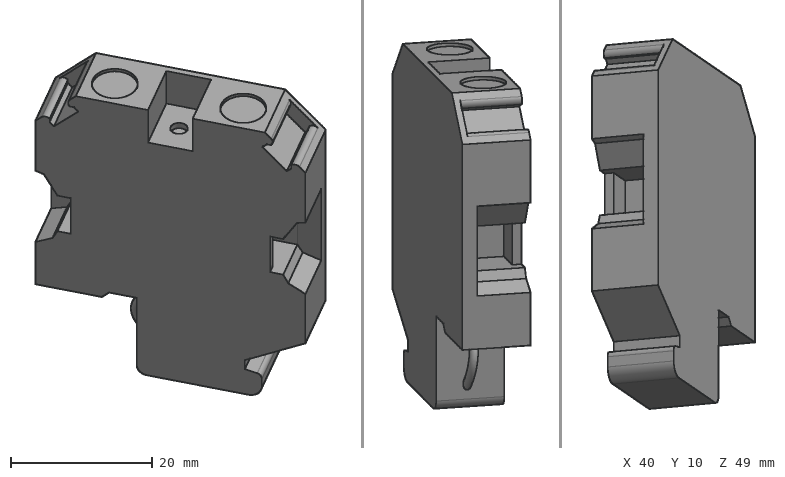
import cadquery as cq
import math

width = 40.0
thickness = 10.0
height = 49.0
half_width = width / 2
corner_chamfer = 6.002
back_wall = 1.0
recess_depth = thickness - back_wall

left_base_z = 12.85
step_z = 13.9
step_left_x = -10.15
foot_left_x = -5.0
foot_left_radius = 1.5
right_base_z = 11.5
notch_x = 11.02
notch_top_z = 6.25
notch_bottom_z = 4.6
toe_x = 13.5
toe_top_z = 4.2
toe_top_radius = 0.85
toe_bottom_radius = 2.0

marker_half_length = 2.55
marker_depth = 2.2
lip_radius = 0.858
lip_half_gap = 2.1
lip_undercut = marker_half_length - lip_half_gap

funnel_depth = 3.3
funnel_outer_y = 7.8
funnel_inner_y = 6.95
entry_top_z = 30.0
entry_bottom_z = 23.4
funnel_top_z = 33.8
funnel_top_bend = (1.25, 33.4)
funnel_bottom_bend = (2.55, 22.0)
funnel_bottom_z = 20.65
entry_front_depth = 5.25
entry_full_depth = 10.0
entry_front_skin = 1.35

slot_width = 6.6
slot_depth = 6.002
hole_y = 4.25
pin_hole_diameter = 2.45
pin_hole_depth = 1.0
screw_hole_diameter = 6.5
screw_hole_depth = 0.5
screw_x = 9.5

wire_diameter = 1.25
wire_path = [(-3.9, 4.55, 11.05), (-5.0, 4.6, 10.6), (-6.7, 5.0, 7.65), (-5.0, 5.4, 3.8), (-4.15, 5.5, 2.85)]


def extrude_to_back(sketch, depth):
    """Extrude an XZ sketch from the front face towards +Y."""
    return sketch.extrude(-depth)


def both_sides(left_cutter):
    return left_cutter.union(left_cutter.mirror("YZ"))


def make_body():
    outline = (
        cq.Workplane("XZ")
        .moveTo(-half_width + corner_chamfer, height)
        .lineTo(half_width - corner_chamfer, height)
        .lineTo(half_width, height - corner_chamfer)
        .lineTo(half_width, right_base_z)
        .lineTo(notch_x, notch_top_z)
        .lineTo(notch_x, notch_bottom_z)
        .lineTo(toe_x, toe_top_z)
        .lineTo(toe_x, 0)
        .lineTo(foot_left_x, 0)
        .lineTo(foot_left_x, step_z)
        .lineTo(step_left_x + step_z - left_base_z, step_z)
        .lineTo(step_left_x, left_base_z)
        .lineTo(-half_width, left_base_z)
        .lineTo(-half_width, height - corner_chamfer)
        .close()
    )
    body = extrude_to_back(outline, thickness)

    def round_corner(solid, x, z, radius):
        corner = cq.selectors.NearestToPointSelector((x, thickness / 2, z))
        return solid.edges("|Y").edges(corner).fillet(radius)

    body = round_corner(body, foot_left_x, 0, foot_left_radius)
    body = round_corner(body, toe_x, 0, toe_bottom_radius)
    return round_corner(body, toe_x, toe_top_z, toe_top_radius)


def make_marker_pocket():
    """Undercut pocket with rounded lips, drawn flat and then turned onto the left chamfer."""
    mouth = lip_half_gap + lip_radius
    arc_offset = lip_radius * (1 - math.sqrt(0.5))
    arc_x = lip_half_gap + arc_offset
    undercut_z = -lip_radius - lip_undercut
    outline = (
        cq.Workplane("XZ")
        .moveTo(-mouth, 0)
        .threePointArc((-arc_x, -arc_offset), (-lip_half_gap, -lip_radius))
        .lineTo(-marker_half_length, undercut_z)
        .lineTo(-marker_half_length, -marker_depth)
        .lineTo(marker_half_length, -marker_depth)
        .lineTo(marker_half_length, undercut_z)
        .lineTo(lip_half_gap, -lip_radius)
        .threePointArc((arc_x, -arc_offset), (mouth, 0))
        .close()
    )
    chamfer_middle = (-half_width + corner_chamfer / 2, 0, height - corner_chamfer / 2)
    pocket = extrude_to_back(outline, recess_depth)
    return pocket.rotate((0, 0, 0), (0, 1, 0), -45).translate(chamfer_middle)


def make_wire_entry():
    """Funnel with a slanted back wall, leading into a chamber behind a thin front skin."""
    funnel_outline = (
        cq.Workplane("XZ")
        .moveTo(-half_width, funnel_top_z)
        .lineTo(-half_width + funnel_top_bend[0], funnel_top_bend[1])
        .lineTo(-half_width + funnel_depth, entry_top_z)
        .lineTo(-half_width + funnel_depth, entry_bottom_z)
        .lineTo(-half_width + funnel_bottom_bend[0], funnel_bottom_bend[1])
        .lineTo(-half_width, funnel_bottom_z)
        .close()
    )
    slanted_wall = (
        cq.Workplane("XY")
        .moveTo(-half_width, 0)
        .lineTo(-half_width, funnel_outer_y)
        .lineTo(-half_width + funnel_depth, funnel_inner_y)
        .lineTo(-half_width + funnel_depth, 0)
        .close()
        .extrude(height)
    )
    funnel = extrude_to_back(funnel_outline, thickness).intersect(slanted_wall)

    def entry_box(start_depth, end_depth, front_y):
        return cq.Workplane("XY").box(
            end_depth - start_depth,
            funnel_inner_y - front_y,
            entry_top_z - entry_bottom_z,
            centered=False,
        ).translate((-half_width + start_depth, front_y, entry_bottom_z))

    open_passage = entry_box(funnel_depth, entry_front_depth, 0)
    chamber = entry_box(funnel_depth, entry_full_depth, entry_front_skin)
    return funnel.union(open_passage).union(chamber)


def make_top_slot():
    return cq.Workplane("XY").box(
        slot_width, recess_depth, slot_depth, centered=(True, False, False)
    ).translate((0, 0, height - slot_depth))


def make_hole(x, top_z, diameter, depth):
    return (
        cq.Workplane("XY", origin=(x, hole_y, top_z))
        .circle(diameter / 2)
        .extrude(-depth)
    )


def make_wire_loop():
    path_edge = cq.Edge.makeSpline([cq.Vector(*point) for point in wire_path])
    start_plane = cq.Plane(origin=wire_path[0], normal=path_edge.tangentAt(0).toTuple())
    path = cq.Workplane("XY").add(cq.Wire.assembleEdges([path_edge]))
    return cq.Workplane(start_plane).circle(wire_diameter / 2).sweep(path)


result = make_body()
result = result.cut(both_sides(make_marker_pocket()))
result = result.cut(both_sides(make_wire_entry()))
result = result.cut(make_top_slot())
result = result.cut(make_hole(0, height - slot_depth, pin_hole_diameter, pin_hole_depth))
result = result.cut(both_sides(make_hole(-screw_x, height, screw_hole_diameter, screw_hole_depth)))
result = result.union(make_wire_loop())